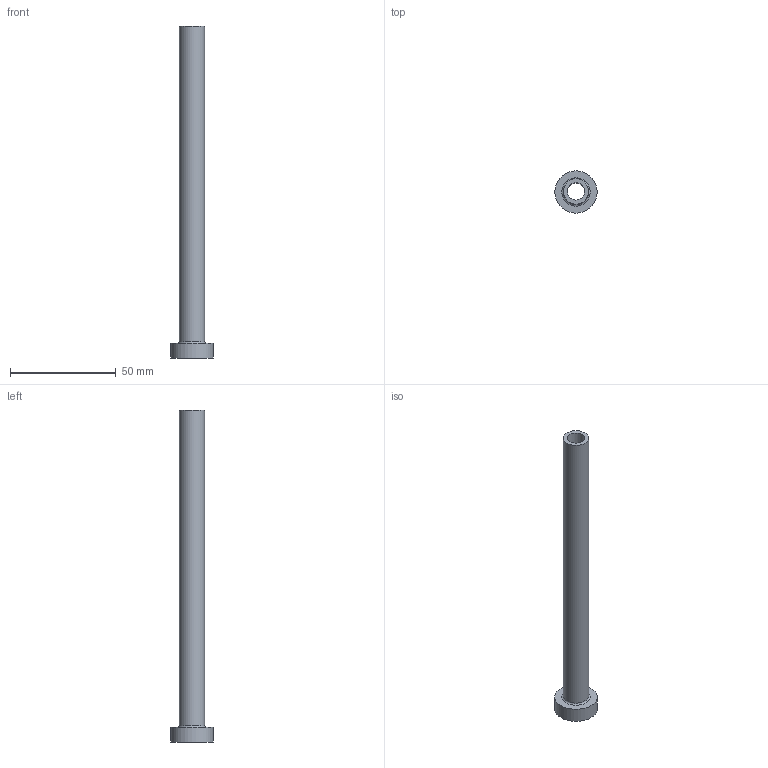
import cadquery as cq

head_diameter = 20.0
head_height = 7.0
shank_diameter = 12.0
shank_length = 150.0
bore_diameter = 8.2
root_fillet_radius = 0.7

total_length = head_height + shank_length


def cylinder(diameter, height):
    """Upright cylinder on the Z axis, standing on the XY plane."""
    return cq.Workplane("XY").circle(diameter / 2).extrude(height)


def headed_shank():
    """Solid head and shank, without fillet or bore."""
    head = cylinder(head_diameter, head_height)
    shank = cylinder(shank_diameter, total_length)
    return head.union(shank)


def fillet_shank_root(body):
    """Round the inside corner where the shank meets the top of the head."""
    head_top = cq.selectors.NearestToPointSelector((0, 0, head_height))
    smallest_circle = cq.selectors.RadiusNthSelector(0)
    return body.faces(head_top).edges(smallest_circle).fillet(root_fillet_radius)


def cut_bore(body):
    """Drill the bore through the full length."""
    return body.cut(cylinder(bore_diameter, total_length))


result = cut_bore(fillet_shank_root(headed_shank()))